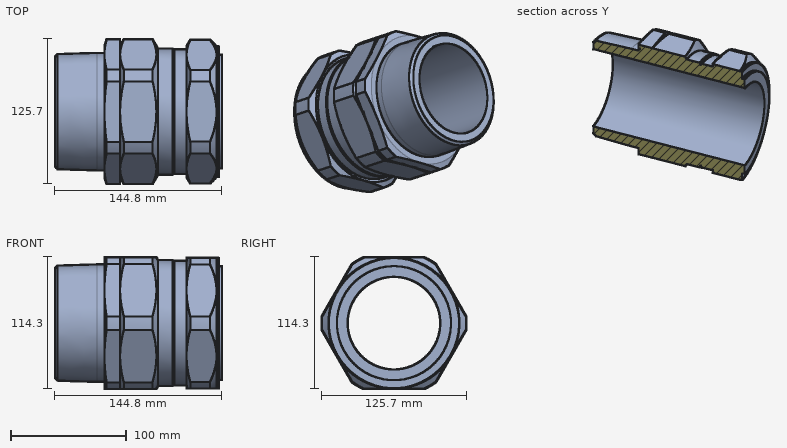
import cadquery as cq
import math


bore_radius = 40.0

thread_end_chamfer = 2.5
thread_length = 36.7
shank_radius = 51.0
thread_taper = 1 / 16

locknut_start = 43.0
body_hex_start = 56.5
body_hex_end = 89.3
body_collar_end = 102.3
gland_nut_start = 114.0
gland_nut_end = 140.0
washer_end = 142.2
overall_length = 144.8

body_flats = 114.3
gland_nut_flats = 113.5
corner_ratio = 1.1
locknut_chamfer_angle = 18.0
hex_chamfer_angle = 30.0
gland_nut_rear_angle = 45.0

body_collar_radius = 54.7
body_collar_chamfer = 0.6
gland_collar_radius = 54.2
gland_collar_chamfer = 1.5
washer_radius = 56.7
washer_edge = 0.3
washer_groove = 0.4
end_ring_radius = 49.4


def turned(points):
    """Revolve an (x, radius) outline, closed along the axis, around X."""
    outline = [(points[0][0], 0), *points, (points[-1][0], 0)]
    return cq.Workplane("XZ").polyline(outline).close().revolve(360, (0, 0, 0), (1, 0, 0))


def cylinder(start, end, radius):
    return turned([(start, radius), (end, radius)])


def hexagon(start, end, flats, front=None, rear=None):
    """Hexagon with flats facing +/-Z, turned corners and optional conical end chamfers.

    front and rear are (face radius, chamfer angle measured from the end face).
    """
    corner_radius = flats / 2 * corner_ratio
    across_points = flats / math.cos(math.pi / 6)
    prism = cq.Workplane("YZ", origin=(start, 0, 0)).polygon(6, across_points).extrude(end - start)

    def chamfer_length(face_radius, angle):
        return (corner_radius - face_radius) * math.tan(math.radians(angle))

    envelope = [(start, corner_radius), (end, corner_radius)]
    if front:
        envelope[:1] = [(start, front[0]), (start + chamfer_length(*front), corner_radius)]
    if rear:
        envelope[-1:] = [(end - chamfer_length(*rear), corner_radius), (end, rear[0])]
    return prism.intersect(turned(envelope))


def thread_end():
    def taper_radius(x):
        return shank_radius - (thread_length - x) * thread_taper / 2

    tip_radius = taper_radius(0) - thread_end_chamfer
    return turned([
        (0, tip_radius),
        (thread_end_chamfer, taper_radius(thread_end_chamfer)),
        (thread_length, shank_radius),
        (locknut_start, shank_radius),
    ])


def locknut():
    front = (body_flats / 2, locknut_chamfer_angle)
    return hexagon(locknut_start, body_hex_start, body_flats, front=front)


def body():
    front = (body_flats / 2, hex_chamfer_angle)
    rear = (body_collar_radius, hex_chamfer_angle)
    hex_part = hexagon(body_hex_start, body_hex_end, body_flats, front, rear)
    collar = turned([
        (body_hex_end, body_collar_radius),
        (body_collar_end - body_collar_chamfer, body_collar_radius),
        (body_collar_end, body_collar_radius - body_collar_chamfer),
    ])
    return hex_part.union(collar)


def gland_nut():
    front = (gland_nut_flats / 2, hex_chamfer_angle)
    rear = (gland_nut_flats / 2, gland_nut_rear_angle)
    collar = turned([
        (body_collar_end, gland_collar_radius - gland_collar_chamfer),
        (body_collar_end + gland_collar_chamfer, gland_collar_radius),
        (gland_nut_start, gland_collar_radius),
    ])
    return collar.union(hexagon(gland_nut_start, gland_nut_end, gland_nut_flats, front, rear))


def washer():
    middle = (gland_nut_end + washer_end) / 2
    return turned([
        (gland_nut_end, washer_radius - washer_groove),
        (middle, washer_radius),
        (washer_end, washer_radius - washer_edge),
    ])


def end_ring():
    return cylinder(washer_end, overall_length, end_ring_radius)


gland = thread_end().union(locknut()).union(body()).union(gland_nut()).union(washer()).union(end_ring())
result = gland.cut(cylinder(0, overall_length, bore_radius))